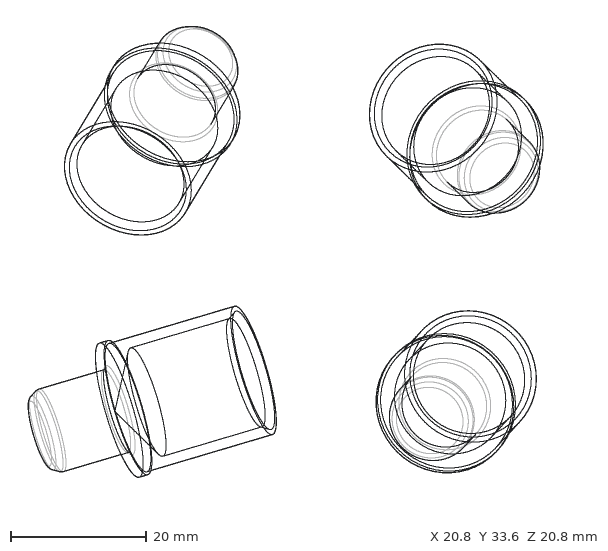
import cadquery as cq
import math

total_length = 33.62

body_radius = 9.92
body_length = 19.77
flange_diameter = 20.75
flange_thickness = 1.38

stem_radius = 6.4
root_fillet = 0.5
tip_taper_length = 1.55
tip_half_angle = 30.0
tip_fillet = 0.85

mouth_radius = 9.15
bore_radius = 8.37
mouth_bevel_depth = 1.2
bore_depth = 16.8
floor_point_angle = 118.0

edge_margin = 0.05

flange_radius = flange_diameter / 2
flange_end = body_length + flange_thickness
tip_start = total_length - tip_taper_length
tip_radius = stem_radius - tip_taper_length * math.tan(math.radians(tip_half_angle))
cone_depth = bore_radius / math.tan(math.radians(floor_point_angle / 2))


def revolve_about_y(profile):
    return profile.close().revolve(360, (0, 0, 0), (0, 1, 0))


def fillet_circle(body, y, radius, fillet_radius):
    reach = radius + edge_margin
    selector = cq.selectors.BoxSelector(
        (-reach, y - edge_margin, -reach),
        (reach, y + edge_margin, reach),
        boundingbox=True,
    )
    return body.edges(selector).fillet(fillet_radius)


def outer_body():
    profile = (
        cq.Workplane("XY")
        .lineTo(body_radius, 0)
        .lineTo(body_radius, body_length)
        .lineTo(flange_radius, body_length)
        .lineTo(flange_radius, flange_end)
        .lineTo(stem_radius, flange_end)
        .lineTo(stem_radius, tip_start)
        .lineTo(tip_radius, total_length)
        .lineTo(0, total_length)
    )
    body = revolve_about_y(profile)
    body = fillet_circle(body, tip_start, stem_radius, tip_fillet)
    body = fillet_circle(body, total_length, tip_radius, tip_fillet)
    return fillet_circle(body, flange_end, stem_radius, root_fillet)


def bore():
    profile = (
        cq.Workplane("XY")
        .lineTo(mouth_radius, 0)
        .lineTo(bore_radius, mouth_bevel_depth)
        .lineTo(bore_radius, bore_depth)
        .lineTo(0, bore_depth + cone_depth)
    )
    return revolve_about_y(profile)


result = outer_body().cut(bore())